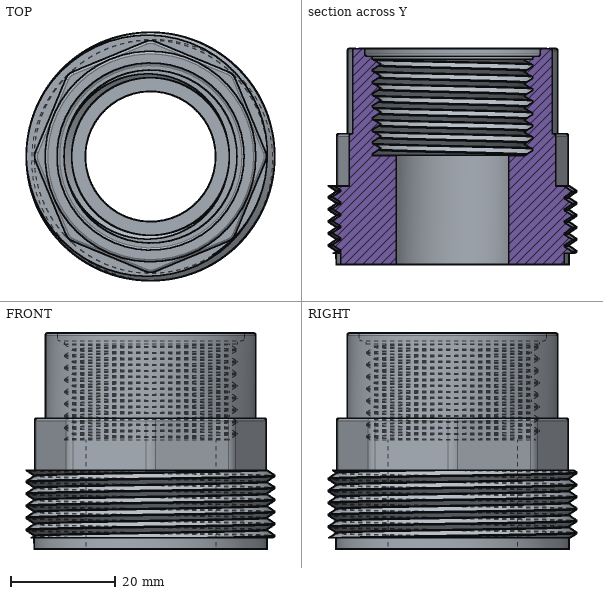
import cadquery as cq
import math

total_height = 41.6
spigot_top = 2.15
octagon_base = 15.15
octagon_top = 25.2
bore_floor = 21.05

six_turn_rise = 13.85
thread_pitch = six_turn_rise / 6
crest_flat = 0.2
root_gap = 0.025
root_overlap = 0.1

male_crest_radius = 47.8 / 2
male_root_radius = 44.85 / 2
male_crest_height = 14.1

female_crest_radius = 30.3 / 2
female_root_radius = 33.25 / 2
female_crest_height = 39.55

octagon_sides = 8
octagon_flat_distance = 41.55
octagon_corner_radius = 2.5
collar_diameter = 40.5
edge_fillet = 0.5

through_diameter = 25.0
recess_diameter = 36.0
recess_depth = 1.5
recess_fillet = 0.5
recess_floor = total_height - recess_depth
plain_bore_depth = 0.55


def cylinder(diameter, bottom, top):
    return cq.Workplane("XY").workplane(offset=bottom).circle(diameter / 2).extrude(top - bottom)


def thread_ridge(root_radius, crest_radius, crest_height, bottom, top):
    """Helical ridge running from a root to a crest radius, trimmed to the given heights."""
    turns_below = math.ceil((crest_height - bottom) / thread_pitch) + 1
    turns_above = math.ceil((top - crest_height) / thread_pitch) + 1
    start = crest_height - turns_below * thread_pitch
    length = (turns_below + turns_above) * thread_pitch

    base_radius = root_radius - math.copysign(root_overlap, crest_radius - root_radius)
    half_base = (thread_pitch - root_gap) / 2
    half_crest = crest_flat / 2
    corners = [
        (base_radius, start - half_base),
        (crest_radius, start - half_crest),
        (crest_radius, start + half_crest),
        (base_radius, start + half_base),
    ]
    helices = [
        cq.Wire.makeHelix(thread_pitch, length, radius, center=cq.Vector(0, 0, height))
        for radius, height in corners
    ]
    faces = [cq.Face.makeRuledSurface(helices[i - 1], helices[i]) for i in range(len(helices))]
    for rise in (0, length):
        outline = [cq.Vector(radius, 0, height + rise) for radius, height in corners]
        faces.append(cq.Face.makeFromWires(cq.Wire.makePolygon(outline, close=True)))
    ridge = cq.Workplane(obj=cq.Solid.makeSolid(cq.Shell.makeShell(faces)))

    widest = 2 * max(base_radius, crest_radius) + thread_pitch
    return ridge.intersect(cylinder(widest, bottom, top))


def octagon_grip():
    corner_diameter = octagon_flat_distance / math.cos(math.pi / octagon_sides)
    return (
        cq.Workplane("XY")
        .workplane(offset=octagon_base)
        .polygon(octagon_sides, corner_diameter)
        .extrude(octagon_top - octagon_base)
        .edges("|Z")
        .fillet(octagon_corner_radius)
        .faces(">Z")
        .edges()
        .fillet(edge_fillet)
    )


def collar():
    return cylinder(collar_diameter, octagon_base, total_height).faces(">Z").edges().fillet(edge_fillet)


def bore():
    passage = cylinder(through_diameter, 0, total_height)
    thread_bore = cylinder(female_root_radius * 2, bore_floor, total_height)
    recess = cylinder(recess_diameter, recess_floor, total_height).faces("<Z").edges().fillet(recess_fillet)
    return passage.union(thread_bore).union(recess)


male_core = cylinder(male_root_radius * 2, 0, octagon_base)
body = male_core.union(octagon_grip()).union(collar()).cut(bore())

male_thread = thread_ridge(
    male_root_radius,
    male_crest_radius,
    male_crest_height,
    bottom=spigot_top,
    top=octagon_base,
)
female_thread = thread_ridge(
    female_root_radius,
    female_crest_radius,
    female_crest_height,
    bottom=bore_floor,
    top=recess_floor - plain_bore_depth,
)

result = body.union(male_thread).union(female_thread)